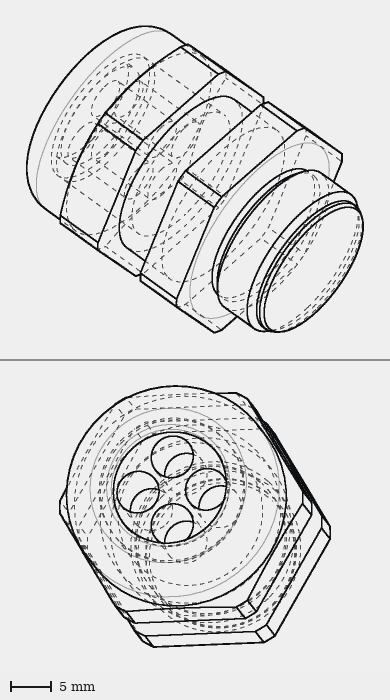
import cadquery as cq
import math


TOTAL_LENGTH = 37.5
CAP_HEX_START = 8.5
CAP_END = 15.5
BODY_HEX_START = 22.5
BODY_HEX_END = 28.5
NECK_START = 29.15
NECK_END = 30.0
THREAD_START = 30.75
THREAD_END = 35.65
TIP_START = 36.52
TIP_CHAMFER_LENGTH = 0.5

HEX_ACROSS_FLATS = 27.0
HEX_CORNER_RADIUS = 15.15

CAP_RADIUS = 13.25
CAP_ROUNDING = 3.5
CAP_LIP_THICKNESS = 2.15
CAP_MOUTH_RADIUS = 7.2
CAP_MOUTH_ROUNDING = 0.5
CAP_CAVITY_RADIUS = 9.0
CAP_HEX_CHAMFER_LENGTH = 0.7

INSERT_START = 3.0
HOLE_COUNT = 4
HOLE_RADIUS = 2.62
HOLE_CIRCLE_RADIUS = 4.28
HOLE_DEPTH = 9.38
DOME_HEIGHT = 0.38

BARREL_RADIUS = 11.25
COLLAR_RADIUS = 12.75
NECK_RADIUS = 9.38
THREAD_RADIUS = 10.15
TIP_CHAMFER_WIDTH = 0.3


def cylinder(start, end, radius):
    """Solid cylinder along X."""
    return cq.Workplane("YZ").workplane(offset=start).circle(radius).extrude(end - start)


def revolved(outline):
    """Solid of revolution about X from a closed outline drawn as (x, radius)."""
    return outline.close().revolve(360, (0, 0, 0), (1, 0, 0))


def hexagon(start, end):
    """Hexagonal prism with corners along Y, its corners turned to a cylinder."""
    corner_diameter = HEX_ACROSS_FLATS / math.cos(math.pi / 6)
    prism = cq.Workplane("YZ").workplane(offset=start).polygon(6, corner_diameter).extrude(end - start)
    return prism.intersect(cylinder(start, end, HEX_CORNER_RADIUS))


def make_cap():
    """Round-nosed cap with a hexagon at its rear and a cavity behind an open lip."""
    nose = cylinder(0, CAP_END, CAP_RADIUS).faces("<X").edges().fillet(CAP_ROUNDING)
    chamfer_end = CAP_HEX_START + CAP_HEX_CHAMFER_LENGTH
    hexagon_envelope = revolved(
        cq.Workplane("XY")
        .moveTo(CAP_HEX_START, 0)
        .lineTo(CAP_HEX_START, CAP_RADIUS)
        .lineTo(chamfer_end, HEX_CORNER_RADIUS)
        .lineTo(CAP_END, HEX_CORNER_RADIUS)
        .lineTo(CAP_END, 0)
    )
    cap = nose.union(hexagon(CAP_HEX_START, CAP_END).intersect(hexagon_envelope))
    cap = cap.cut(cylinder(0, CAP_LIP_THICKNESS, CAP_MOUTH_RADIUS))
    cap = cap.cut(cylinder(CAP_LIP_THICKNESS, CAP_END, CAP_CAVITY_RADIUS))
    mouth_edge = cq.selectors.RadiusNthSelector(0)
    return cap.faces("<X").edges(mouth_edge).fillet(CAP_MOUTH_ROUNDING)


def cable_hole():
    """Blind hole along X whose floor bulges towards the opening as a spherical dome."""
    floor = INSERT_START + HOLE_DEPTH
    dome_radius = (HOLE_RADIUS**2 + DOME_HEIGHT**2) / (2 * DOME_HEIGHT)
    dome = cq.Workplane("XY").sphere(dome_radius).translate((floor - DOME_HEIGHT + dome_radius, 0, 0))
    return cylinder(INSERT_START, floor, HOLE_RADIUS).cut(dome)


def make_insert():
    """Sealing plug that fills the cap cavity except for a small gap behind the lip."""
    insert = cylinder(INSERT_START, CAP_END, CAP_CAVITY_RADIUS)
    hole = cable_hole().translate((0, HOLE_CIRCLE_RADIUS, 0))
    for index in range(HOLE_COUNT):
        insert = insert.cut(hole.rotate((0, 0, 0), (1, 0, 0), index * 360 / HOLE_COUNT))
    return insert


def make_body():
    """Barrel, hexagon and threaded end, the thread shown as a plain cylinder."""
    shank = revolved(
        cq.Workplane("XY")
        .moveTo(CAP_END, 0)
        .lineTo(CAP_END, BARREL_RADIUS)
        .lineTo(BODY_HEX_START, BARREL_RADIUS)
        .lineTo(BODY_HEX_START, COLLAR_RADIUS)
        .lineTo(BODY_HEX_END, COLLAR_RADIUS)
        .lineTo(NECK_START, NECK_RADIUS)
        .lineTo(NECK_END, NECK_RADIUS)
        .lineTo(THREAD_START, THREAD_RADIUS)
        .lineTo(THREAD_END, THREAD_RADIUS)
        .lineTo(TIP_START, NECK_RADIUS)
        .lineTo(TOTAL_LENGTH - TIP_CHAMFER_LENGTH, NECK_RADIUS)
        .lineTo(TOTAL_LENGTH, NECK_RADIUS - TIP_CHAMFER_WIDTH)
        .lineTo(TOTAL_LENGTH, 0)
    )
    return shank.union(hexagon(BODY_HEX_START, BODY_HEX_END))


cap = make_cap()
insert = make_insert()
body = make_body()

result = cq.Compound.makeCompound([cap.val(), insert.val(), body.val()])